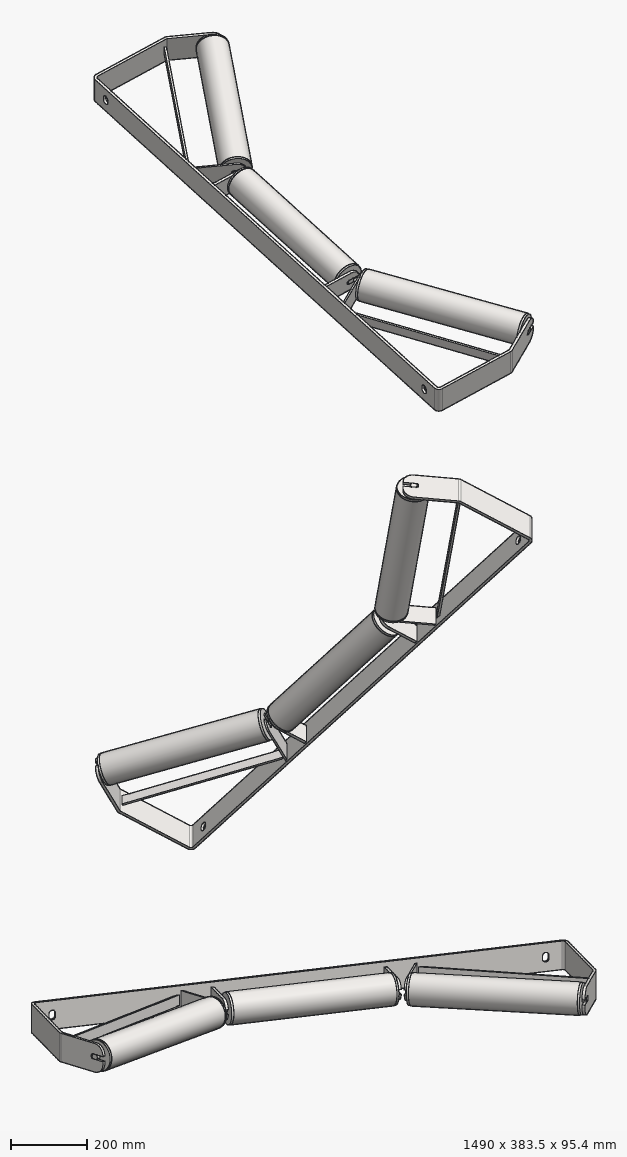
import cadquery as cq
import math

frame_length = 1490.0
bar_width = 80.0
bar_thickness = 8.0
corner_radius = 15.0
lower_arm_length = 9.0

middle_upright_thickness = 8.0
wing_upright_thickness = 5.0
inner_upright_width = 60.0
tip_above_axis = 28.0
tip_radius = 28.0
slot_width = 14.0
slot_depth_below_axis = 13.0

hole_width = 18.0
hole_height = 27.0
hole_x = 685.0

brace_thickness = 6.0
brace_width = 30.0
brace_foot_x = 344.0

roller_diameter = 88.8
roller_length = 465.0
cap_diameter = 86.0
cap_length = 6.0
shaft_diameter = 18.0
shaft_flats = 13.0
bearing_span = 472.0

middle_axis_y = 98.0
wing_angle = 30.0
wing_center_x = 472.0
wing_center_y = 230.0
outer_end_z = 3.0
inner_end_z = -3.7

half_length = frame_length / 2
half_span = bearing_span / 2
cos_wing = math.cos(math.radians(wing_angle))
sin_wing = math.sin(math.radians(wing_angle))
wing_tilt = math.degrees(math.asin((outer_end_z - inner_end_z) / bearing_span))
wing_center_z = (outer_end_z + inner_end_z) / 2

arm_offset = half_span + bar_thickness
arm_axis_x = wing_center_x + arm_offset * cos_wing
arm_axis_y = wing_center_y + arm_offset * sin_wing
arm_below_axis = (half_length - arm_axis_x) / sin_wing
bend_y = arm_axis_y - arm_below_axis * cos_wing

wing_face_y = wing_center_y - half_span * sin_wing
foot_y = bar_thickness / 2
wing_upright_below_axis = (wing_face_y - foot_y) / cos_wing
middle_upright_below_axis = middle_axis_y - foot_y


def mirrored(shape):
    """The same shape on the other side of the plane X = 0."""
    return shape.mirror("YZ")


def upright(thickness, width, below_axis, axis_z):
    """Slotted plate from X = 0 to +X with its tip toward +Y and its shaft axis at Y = 0, Z = axis_z."""
    height = below_axis + tip_above_axis
    plate = (
        cq.Workplane("XY")
        .box(thickness, height, width, centered=(False, False, True))
        .translate((0, -below_axis, 0))
        .edges(">Y and |X")
        .fillet(tip_radius)
    )
    slot_center_y = slot_width / 2 - slot_depth_below_axis
    slot_height = tip_above_axis - slot_center_y
    slot = (
        cq.Workplane("XY")
        .box(thickness, slot_height, slot_width, centered=(False, False, True))
        .union(cq.Workplane("YZ").circle(slot_width / 2).extrude(thickness))
        .translate((0, slot_center_y, axis_z))
    )
    return plate.cut(slot)


def on_wing(shape, along):
    """Moves a shape on the X axis onto the right wing's axis, `along` from the roller's middle."""
    return (
        shape.translate((along, 0, 0))
        .rotate((0, 0, 0), (0, 0, 1), wing_angle)
        .translate((wing_center_x, wing_center_y, 0))
    )


def edges_along_z(x, y_low, y_high):
    """Picks the strap's edges along Z whose X is x and whose Y is from y_low to y_high."""
    margin = bar_thickness / 4
    return cq.selectors.BoxSelector(
        (x - margin, y_low - margin, -margin), (x + margin, y_high + margin, margin)
    )


def make_strap():
    """U-shaped bar whose ends lean inward after a bend."""
    outer_end = (half_length - lower_arm_length * sin_wing, bend_y + lower_arm_length * cos_wing)
    inner_end = (outer_end[0] - bar_thickness * cos_wing, outer_end[1] - bar_thickness * sin_wing)
    inner_x = half_length - bar_thickness
    inner_bend_y = bend_y - bar_thickness * math.tan(math.radians(wing_angle / 2))
    half_outline = [
        (0, 0),
        (half_length, 0),
        (half_length, bend_y),
        outer_end,
        inner_end,
        (inner_x, inner_bend_y),
        (inner_x, bar_thickness),
        (0, bar_thickness),
    ]
    half = cq.Workplane("XY").polyline(half_outline).close().extrude(bar_width / 2, both=True)
    half = half.edges(edges_along_z(half_length, 0, bend_y)).fillet(corner_radius)
    inner_edges = edges_along_z(inner_x, bar_thickness, inner_bend_y)
    half = half.edges(inner_edges).fillet(corner_radius - bar_thickness)
    return half.union(mirrored(half))


def make_brace():
    """Flat bar from the right side's bend down to the base."""
    reach = (half_length - bar_thickness - brace_foot_x) / cos_wing
    bar = (
        cq.Workplane("XY")
        .box(2 * reach, brace_thickness, brace_width, centered=(True, False, True))
        .rotate((0, 0, 0), (0, 0, 1), wing_angle)
        .translate((brace_foot_x, bar_thickness, 0))
    )
    inside = (
        cq.Workplane("XY")
        .box(half_length - bar_thickness, bend_y, bar_width, centered=(False, False, True))
        .translate((0, bar_thickness, 0))
    )
    return bar.intersect(inside)


def make_frame():
    """Welded frame: strap, arms, inner uprights and braces."""
    arm = upright(bar_thickness, bar_width, arm_below_axis - lower_arm_length, outer_end_z)
    arm = on_wing(arm, half_span)
    wing_upright = mirrored(upright(wing_upright_thickness, inner_upright_width, wing_upright_below_axis, 0))
    wing_upright = on_wing(wing_upright, -half_span).translate((0, 0, inner_end_z))
    middle_upright = upright(middle_upright_thickness, inner_upright_width, middle_upright_below_axis, 0)
    middle_upright = middle_upright.translate((half_span, middle_axis_y, inner_end_z))

    frame = make_strap()
    for piece in (arm, wing_upright, middle_upright, make_brace()):
        frame = frame.union(piece).union(mirrored(piece))

    holes = (
        cq.Workplane("XZ")
        .pushPoints([(-hole_x, 0), (hole_x, 0)])
        .slot2D(hole_height, hole_width, angle=90)
        .extrude(-bar_thickness)
    )
    return frame.cut(holes)


def cylinder(diameter, left_reach, right_reach):
    """Round bar along X from -left_reach to right_reach."""
    left_end = cq.Workplane("YZ", origin=(-left_reach, 0, 0))
    return left_end.circle(diameter / 2).extrude(left_reach + right_reach)


def make_roller(left_reach, right_reach):
    """Roller along X with end caps and a flatted shaft."""
    shell = cylinder(roller_diameter, roller_length / 2 - cap_length, roller_length / 2 - cap_length)
    caps = cylinder(cap_diameter, roller_length / 2, roller_length / 2)
    flats = cq.Workplane("XY").box(2 * frame_length, shaft_diameter, shaft_flats)
    shaft = cylinder(shaft_diameter, left_reach, right_reach).intersect(flats)
    return shell.union(caps).union(shaft)


def make_wing_roller():
    """Right wing roller, its outer end a little higher than its inner end."""
    roller = make_roller(half_span + wing_upright_thickness, half_span + bar_thickness)
    roller = roller.rotate((0, 0, 0), (0, 1, 0), -wing_tilt)
    return on_wing(roller, 0).translate((0, 0, wing_center_z))


frame = make_frame()

middle_reach = half_span + middle_upright_thickness
middle_roller = make_roller(middle_reach, middle_reach).translate((0, middle_axis_y, inner_end_z))
right_roller = make_wing_roller()
rollers = [middle_roller, right_roller, mirrored(right_roller)]

result = cq.Compound.makeCompound([frame.val()] + [roller.val() for roller in rollers])